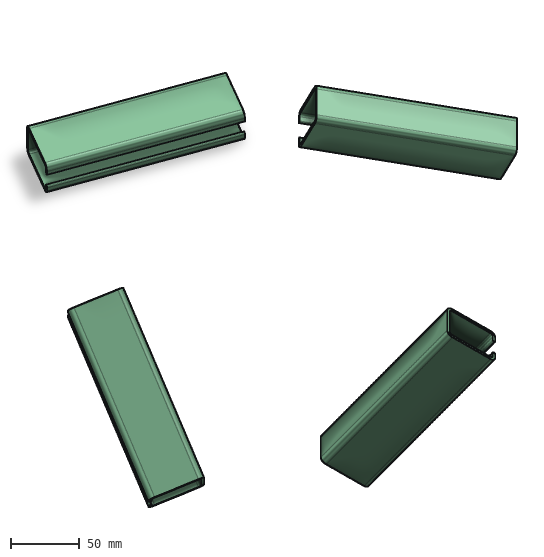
import cadquery as cq

length = 152.4
width = 43.9
height = 31.2
wall = 2.5
outer_radius = 4.7
mouth = 12.5
lip_round = 1.0

inner_radius = outer_radius - wall


def rounded_bar(bar_width, bar_height, corner_radius):
    """Full-length rectangular bar along Y with rounded long edges."""
    return cq.Workplane("XY").box(bar_width, length, bar_height).edges("|Y").fillet(corner_radius)


outside = rounded_bar(width, height, outer_radius)
inside = rounded_bar(width - 2 * wall, height - 2 * wall, inner_radius)
tube = outside.cut(inside)

wall_center_x = (width - wall) / 2
mouth_cutter = cq.Workplane("XY").box(2 * wall, length, mouth).translate((wall_center_x, 0, 0))
channel = tube.cut(mouth_cutter)

lip_edges = cq.selectors.BoxSelector(
    (wall_center_x - wall, -length, -mouth / 2 - lip_round),
    (wall_center_x + wall, length, mouth / 2 + lip_round),
)
result = channel.edges("|Y").edges(lip_edges).fillet(lip_round)